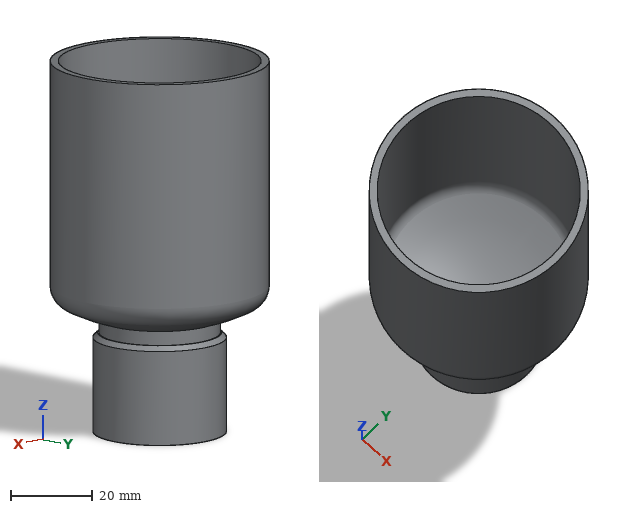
import cadquery as cq
import math

total_height = 93.5
cup_diameter = 54.0
cup_bore_diameter = 50.0
neck_diameter = 30.0
spigot_diameter = 33.0

spigot_edge_z = 23.75
shoulder_height = 1.2
cup_wall_start_z = 36.8
shoulder_top_z = spigot_edge_z + shoulder_height

cup_radius = cup_diameter / 2
cup_bore_radius = cup_bore_diameter / 2
wall = cup_radius - cup_bore_radius
crown_radius = cup_diameter
knuckle_radius = 0.1 * cup_diameter
knuckle_center_r = cup_radius - knuckle_radius
tangent_angle = math.asin(knuckle_center_r / (crown_radius - knuckle_radius))
crown_center_z = cup_wall_start_z + (crown_radius - knuckle_radius) * math.cos(tangent_angle)


def dished_body(crown, knuckle):
    """Solid of revolution with a dished bottom and a straight wall up to the rim."""

    def crown_point(angle):
        return crown * math.sin(angle), crown_center_z - crown * math.cos(angle)

    def knuckle_point(angle):
        r = knuckle_center_r + knuckle * math.sin(angle)
        return r, cup_wall_start_z - knuckle * math.cos(angle)

    wall_radius = knuckle_center_r + knuckle
    knuckle_middle_angle = (tangent_angle + math.pi / 2) / 2
    return (
        cq.Workplane("XZ")
        .moveTo(*crown_point(0))
        .threePointArc(crown_point(tangent_angle / 2), crown_point(tangent_angle))
        .threePointArc(knuckle_point(knuckle_middle_angle), (wall_radius, cup_wall_start_z))
        .lineTo(wall_radius, total_height)
        .lineTo(0, total_height)
        .close()
        .revolve(360, (0, 0, 0), (0, 1, 0))
    )


def stem():
    """Spigot with a sloping shoulder and a narrower neck reaching into the dished end."""
    neck_radius = neck_diameter / 2
    spigot_radius = spigot_diameter / 2
    crown_joint_z = crown_center_z - math.sqrt(crown_radius**2 - neck_radius**2)
    neck_top_z = crown_joint_z + wall / 2
    return (
        cq.Workplane("XZ")
        .lineTo(spigot_radius, 0)
        .lineTo(spigot_radius, spigot_edge_z)
        .lineTo(spigot_radius - shoulder_height, shoulder_top_z)
        .lineTo(neck_radius, shoulder_top_z)
        .lineTo(neck_radius, neck_top_z)
        .lineTo(0, neck_top_z)
        .close()
        .revolve(360, (0, 0, 0), (0, 1, 0))
    )


outer_body = dished_body(crown_radius, knuckle_radius)
cavity = dished_body(crown_radius - wall, knuckle_radius - wall)

result = outer_body.union(stem()).cut(cavity)